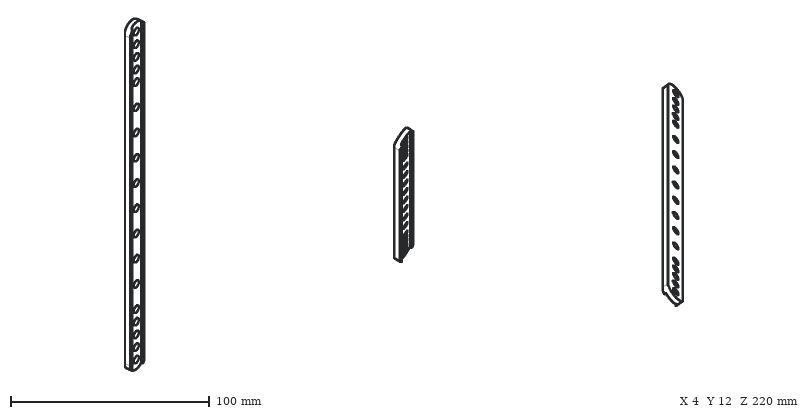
import cadquery as cq

length = 220.0
width = 12.0
pitches_between_ends = 26
thickness = 4.0
hole_diameter = 4.2
channel_width = 8.0
channel_depth = 1.0
edge_chamfer = 0.5
close_holes_per_end = 5
middle_step = 2

hole_pitch = (length - width) / pitches_between_ends
back_x = -thickness / 2
front_x = thickness / 2


def make_channel_bar():
    """Bar with bevelled long edges and a channel along its +X face."""
    bar = cq.Workplane("XY").box(thickness, width, length)
    channel = (
        cq.Workplane("XY")
        .box(channel_depth, channel_width, length)
        .translate((front_x - channel_depth / 2, 0, 0))
    )
    bar = bar.cut(channel)
    exposed_edges = bar.edges("|Z and (<X or >X)")
    return exposed_edges.chamfer(edge_chamfer)


def make_rounded_end_envelope():
    """Strip with semicircular ends that trims the bar to its outline."""
    return (
        cq.Workplane("YZ", origin=(back_x, 0, 0))
        .slot2D(length, width, 90)
        .extrude(thickness)
    )


def hole_heights():
    """Z positions: close holes near both ends, wider spacing between them."""
    last_close = close_holes_per_end - 1
    first_close_at_top = pitches_between_ends - last_close
    steps = list(range(close_holes_per_end))
    steps += range(last_close + middle_step, first_close_at_top, middle_step)
    steps += range(first_close_at_top, pitches_between_ends + 1)
    return [(step - pitches_between_ends / 2) * hole_pitch for step in steps]


def make_holes():
    """Cylinders for the row of through holes along the centre line."""
    return (
        cq.Workplane("YZ", origin=(back_x, 0, 0))
        .pushPoints([(0, z) for z in hole_heights()])
        .circle(hole_diameter / 2)
        .extrude(thickness)
    )


result = make_channel_bar().intersect(make_rounded_end_envelope()).cut(make_holes())